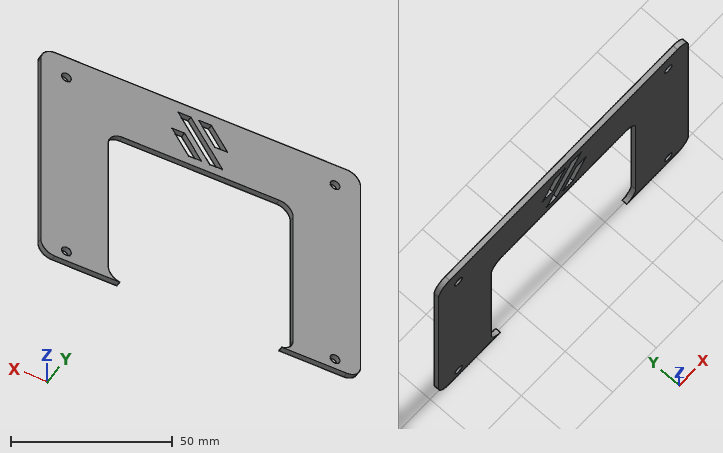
import cadquery as cq

width = 114.2
thickness = 1.9
height = 87.9
corner_radius = 5.0

window_width = 66.0
window_height = 63.0
window_radius = 5.0
tip_reach = 4.1

hole_diameter = 3.4
hole_spacing_x = 95.9
hole_spacing_z = 75.1
hole_centre_z = -2.3

slot_width = 4.6
slot_slope = 0.66
slots = [
    (-9.6, 30.8, 8.8),
    (-7.8, 22.5, 17.1),
    (-0.2, 22.5, 9.1),
]

bottom = -height / 2


def back_plane():
    """Sketch plane on the back face; profiles extrude forward, toward -Y."""
    return cq.Workplane("XZ", origin=(0, thickness / 2, 0))


def make_plate():
    plate = back_plane().rect(width, height).extrude(thickness)
    return plate.edges("|Y").fillet(corner_radius)


def make_window():
    side = window_width / 2
    top = bottom + window_height
    tip_drop = (window_radius**2 - (window_radius - tip_reach) ** 2) ** 0.5
    tip_start = bottom + tip_drop
    tip_x = side - tip_reach
    profile = (
        back_plane()
        .moveTo(-tip_x, bottom)
        .lineTo(tip_x, bottom)
        .radiusArc((side, tip_start), -window_radius)
        .lineTo(side, top - window_radius)
        .radiusArc((side - window_radius, top), -window_radius)
        .lineTo(window_radius - side, top)
        .radiusArc((-side, top - window_radius), -window_radius)
        .lineTo(-side, tip_start)
        .radiusArc((-tip_x, bottom), -window_radius)
        .close()
    )
    return profile.extrude(thickness)


def make_holes():
    pattern = back_plane().center(0, hole_centre_z)
    centres = pattern.rect(hole_spacing_x, hole_spacing_z, forConstruction=True).vertices()
    return centres.circle(hole_diameter / 2).extrude(thickness)


def make_slot(left, base, rise):
    run = slot_slope * rise
    profile = back_plane().polyline([
        (left, base),
        (left + slot_width, base),
        (left + slot_width + run, base + rise),
        (left + run, base + rise),
    ]).close()
    return profile.extrude(thickness)


result = make_plate().cut(make_window()).cut(make_holes())
for left, base, rise in slots:
    result = result.cut(make_slot(left, base, rise))